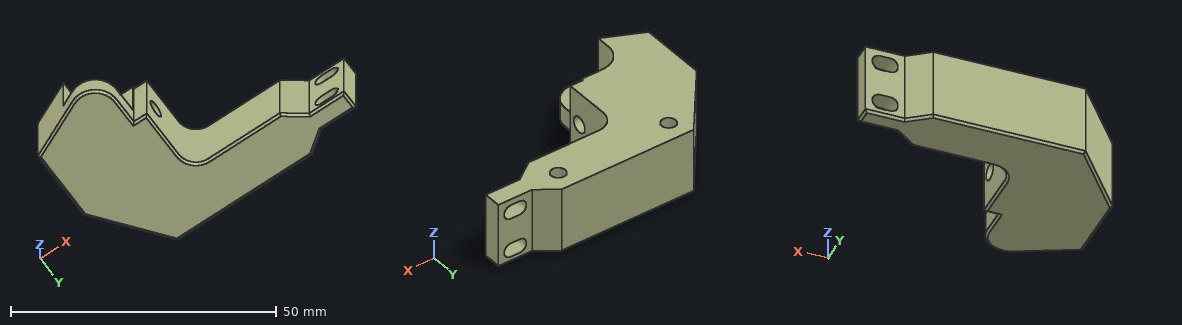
import cadquery as cq
import math

length = 55.0
width = 35.5
height = 15.0
base_chamfer = 0.5

lug_x = 13.95
lug_radius = 5.0
lug_y = lug_radius
lug_height = 5.0
lug_right_x = lug_x + lug_radius
pocket_radius = 5.1

left_front_y = 6.0
left_back_y = 21.0
back_left_x = 11.45
arm_end_x = 42.5
body_right_x = 21.95
body_front_y = 10.55
arm_front_y = 24.95
corner_radius = 4.0

tab_start_x = 46.95
tab_thickness = 4.0
tab_y = (width + arm_front_y) / 2
tab_front_y = tab_y - tab_thickness / 2
tab_back_y = tab_y + tab_thickness / 2

screw_diameter = 3.2
screw_depth = 10.0
lug_screw_depth = 1.75
back_screw_y = 30.95
arm_screw_x = 39.95

bore_y = 13.5
bore_z = height / 2
bore_diameter = 3.5
counterbore_diameter = 9.8
counterbore_depth = 10.0

slot_length = 5.2
slot_width = 3.2
slot_x = 51.0
slot_spacing = 9.0


def lug_tangent_angle():
    """Angle on the lug circle where the slanted front face meets it tangentially."""
    distance = math.hypot(lug_x, left_front_y - lug_y)
    toward_corner = math.atan2(left_front_y - lug_y, -lug_x)
    return toward_corner + math.acos(lug_radius / distance)


def on_lug(angle):
    """Point on the lug circle at the given angle."""
    return (lug_x + lug_radius * math.cos(angle), lug_y + lug_radius * math.sin(angle))


def make_body():
    """Extruded bracket outline with a rounded inner corner and chamfered base."""
    tangent_angle = lug_tangent_angle()
    arc_middle_angle = (tangent_angle + 2 * math.pi) / 2
    body = (
        cq.Workplane("XY")
        .moveTo(0, left_front_y)
        .lineTo(*on_lug(tangent_angle))
        .threePointArc(on_lug(arc_middle_angle), (lug_right_x, lug_y))
        .lineTo(lug_right_x, body_front_y)
        .lineTo(body_right_x, body_front_y)
        .lineTo(body_right_x, arm_front_y - corner_radius)
        .radiusArc((body_right_x + corner_radius, arm_front_y), corner_radius)
        .lineTo(arm_end_x, arm_front_y)
        .lineTo(tab_start_x, tab_front_y)
        .lineTo(length, tab_front_y)
        .lineTo(length, tab_back_y)
        .lineTo(tab_start_x, tab_back_y)
        .lineTo(arm_end_x, width)
        .lineTo(back_left_x, width)
        .lineTo(0, left_back_y)
        .close()
        .extrude(height)
    )
    return body.faces("<Z").edges().chamfer(base_chamfer)


def make_lug_pocket():
    """Clearance above the lug, open to the front and right."""
    left_x = lug_x - pocket_radius
    back_y = lug_y + pocket_radius
    return (
        cq.Workplane("XY", origin=(0, 0, lug_height))
        .moveTo(left_x, -lug_radius)
        .lineTo(left_x, lug_y)
        .radiusArc((lug_x, back_y), pocket_radius)
        .lineTo(body_right_x, back_y)
        .lineTo(body_right_x, -lug_radius)
        .close()
        .extrude(height - lug_height)
    )


def make_screw_hole(x, y, top_z, depth):
    """Blind vertical hole cut downward from top_z."""
    return cq.Workplane("XY", origin=(x, y, top_z)).circle(screw_diameter / 2).extrude(-depth)


def make_bore():
    """Through bore with a counterbore on the left face."""
    plane = cq.Workplane("YZ").center(bore_y, bore_z)
    through = plane.circle(bore_diameter / 2).extrude(body_right_x)
    counterbore = plane.circle(counterbore_diameter / 2).extrude(counterbore_depth)
    return through.union(counterbore)


def make_tab_slots():
    """Two slots one above the other, through the tab along Y."""
    return (
        cq.Workplane("XZ", origin=(slot_x, tab_back_y, height / 2))
        .pushPoints([(0, -slot_spacing / 2), (0, slot_spacing / 2)])
        .slot2D(slot_length, slot_width)
        .extrude(tab_thickness)
    )


result = make_body().cut(make_lug_pocket()).cut(make_bore()).cut(make_tab_slots())
for hole_x, hole_y, hole_top, hole_depth in [
    (lug_x, back_screw_y, height, screw_depth),
    (arm_screw_x, back_screw_y, height, screw_depth),
    (lug_x, lug_y, lug_height, lug_screw_depth),
]:
    result = result.cut(make_screw_hole(hole_x, hole_y, hole_top, hole_depth))